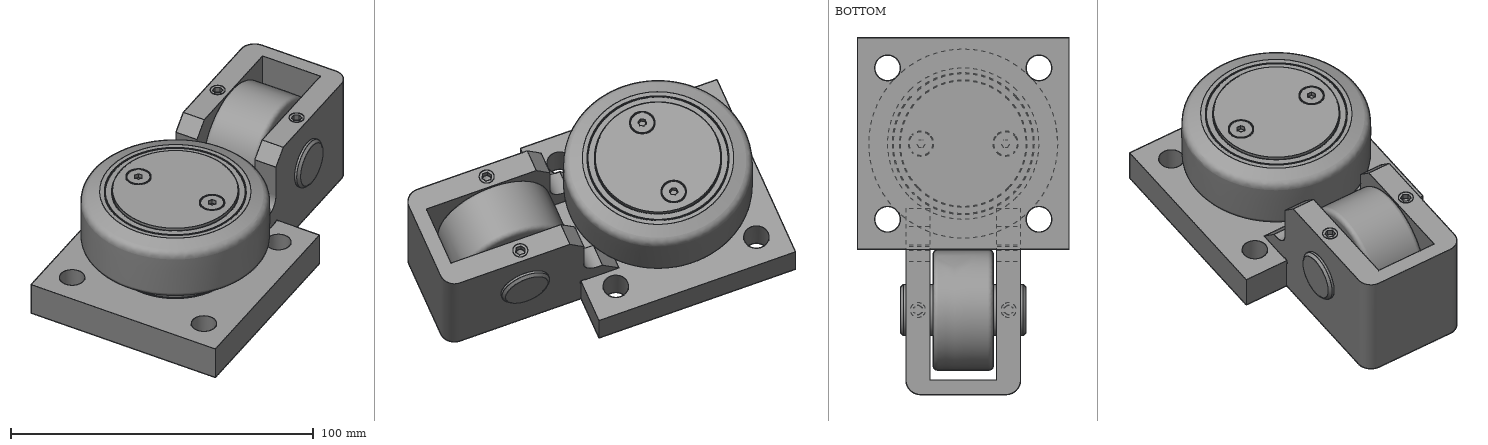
import cadquery as cq
import math


OVERALL_LENGTH = 118.0
OVERALL_HEIGHT = 42.5

PLATE_SIDE = 70.0
PLATE_EDGE = PLATE_SIDE / 2
PLATE_THICKNESS = 12.0
MOUNT_HOLE_DIAMETER = 8.4
MOUNT_HOLE_PITCH = 50.0

BEARING_DIAMETER = 62.5
BEARING_CROWN = 0.1
BEARING_BOTTOM = 20.8
BEARING_TOP = 40.8
BEARING_TOP_FLAT_DIAMETER = 50.0
BEARING_CONE_ANGLE = 20.0
BEARING_TOP_FILLET = 3.0
BEARING_BOTTOM_FILLET = 1.5
NECK_DIAMETER = 42.0
NECK_RELIEF_DIAMETER = 41.5
NECK_RELIEF_HEIGHT = 0.5
SEAL_GROOVE_OUTER_DIAMETER = 47.0
SEAL_GROOVE_INNER_DIAMETER = 46.3
CAP_GROOVE_DIAMETER = 42.1
CAP_DIAMETER = 41.5
CAP_TOP = 41.7
GROOVE_DEPTH = 0.5
CAP_SCREW_SPACING = 28.0
CAP_SCREW_SEAT_DIAMETER = 8.4
CAP_SCREW_HEAD_DIAMETER = 7.8
CAP_SCREW_SOCKET_FLATS = 2.5
CAP_SCREW_SOCKET_DEPTH = 1.5

BRACKET_WIDTH = 38.0
BRACKET_HEIGHT = 40.0
ROLLER_SLOT_WIDTH = 22.0
BACK_WALL = 5.0
BACK_CORNER_RADIUS = 5.0
BRACKET_BACK = OVERALL_LENGTH - PLATE_EDGE
ARM_FRONT = 34.0
ARM_CHAMFER = 5.0
ARM_INNER_RADIUS = 5.0
TOE_TOP = 17.9
TOE_TIP = 21.5
CORNER_RELIEF_RADIUS = 1.1
CORNER_RELIEF_INSET = 0.7

ROLLER_DIAMETER = 40.0
ROLLER_WIDTH = 20.0
ROLLER_FILLET = 1.5
ROLLER_CROWN = 0.1
PIN_DIAMETER = 17.0
PIN_LENGTH = 41.5
PIN_CHAMFER = 1.0
PIN_Y = 55.0
PIN_Z = OVERALL_HEIGHT - ROLLER_DIAMETER / 2

SET_SCREW_DIAMETER = 5.0
SET_SCREW_RECESS = 0.1
SET_SCREW_SOCKET_FLATS = 3.0
SET_SCREW_SOCKET_DEPTH = 2.0
DRILL_POINT_ANGLE = 118.0


def ring_cutter(outer_diameter, inner_diameter, bottom, top):
    """Annular cutter around the Z axis."""
    ring = cq.Workplane("XY", origin=(0, 0, bottom)).circle(outer_diameter / 2).circle(inner_diameter / 2)
    return ring.extrude(top - bottom)


def hexagon_prism(across_flats, bottom, height):
    """Hexagonal prism about the Z axis, with two corners along X."""
    corner_diameter = 2 * across_flats / math.sqrt(3)
    return cq.Workplane("XY", origin=(0, 0, bottom)).polygon(6, corner_diameter).extrude(height)


def make_plate():
    """Square plate, sitting on Z = 0, with four corner mounting holes."""
    plate = cq.Workplane("XY").box(PLATE_SIDE, PLATE_SIDE, PLATE_THICKNESS, centered=(True, True, False))
    holes = (
        cq.Workplane("XY")
        .rect(MOUNT_HOLE_PITCH, MOUNT_HOLE_PITCH, forConstruction=True)
        .vertices()
        .circle(MOUNT_HOLE_DIAMETER / 2)
        .extrude(PLATE_THICKNESS)
    )
    return plate.cut(holes)


def make_bearing():
    """Neck, crowned and rounded bearing ring and slightly raised cap, all about the Z axis."""
    outer = BEARING_DIAMETER / 2
    top_flat = BEARING_TOP_FLAT_DIAMETER / 2
    rim_end = outer - BEARING_CROWN
    shoulder_z = BEARING_TOP - (rim_end - top_flat) * math.tan(math.radians(BEARING_CONE_ANGLE))

    ring = (
        cq.Workplane("XZ")
        .moveTo(0, BEARING_BOTTOM)
        .lineTo(rim_end, BEARING_BOTTOM)
        .threePointArc((outer, (BEARING_BOTTOM + shoulder_z) / 2), (rim_end, shoulder_z))
        .lineTo(top_flat, BEARING_TOP)
        .lineTo(0, BEARING_TOP)
        .close()
        .revolve(360, (0, 0, 0), (0, 1, 0))
    )
    shoulder_edge = cq.selectors.NearestToPointSelector((0, rim_end, shoulder_z))
    ring = ring.edges(shoulder_edge).fillet(BEARING_TOP_FILLET)
    ring = ring.faces("<Z").edges().fillet(BEARING_BOTTOM_FILLET)

    relief_core = (
        cq.Workplane("XY", origin=(0, 0, PLATE_THICKNESS))
        .circle(NECK_RELIEF_DIAMETER / 2)
        .extrude(BEARING_BOTTOM - PLATE_THICKNESS)
    )
    neck = (
        cq.Workplane("XY", origin=(0, 0, PLATE_THICKNESS + NECK_RELIEF_HEIGHT))
        .circle(NECK_DIAMETER / 2)
        .extrude(BEARING_BOTTOM - PLATE_THICKNESS - 2 * NECK_RELIEF_HEIGHT)
    )
    cap = (
        cq.Workplane("XY", origin=(0, 0, BEARING_TOP))
        .circle(CAP_DIAMETER / 2)
        .extrude(CAP_TOP - BEARING_TOP)
    )

    groove_bottom = BEARING_TOP - GROOVE_DEPTH
    seal_groove = ring_cutter(
        SEAL_GROOVE_OUTER_DIAMETER, SEAL_GROOVE_INNER_DIAMETER, groove_bottom, BEARING_TOP
    )
    cap_groove = ring_cutter(CAP_GROOVE_DIAMETER, CAP_DIAMETER, groove_bottom, BEARING_TOP)
    bearing = ring.union(relief_core).union(neck).union(cap)
    return bearing.cut(seal_groove).cut(cap_groove)


def cap_screw_cutter():
    """Ring gap around a flush screw head, plus the drive socket in the head."""
    gap = ring_cutter(CAP_SCREW_SEAT_DIAMETER, CAP_SCREW_HEAD_DIAMETER, CAP_TOP - GROOVE_DEPTH, CAP_TOP)
    socket = hexagon_prism(CAP_SCREW_SOCKET_FLATS, CAP_TOP - CAP_SCREW_SOCKET_DEPTH, CAP_SCREW_SOCKET_DEPTH)
    return gap.union(socket)


def make_bearing_unit():
    """Flange plate with the main bearing fixed on it, as one solid."""
    unit = make_plate().union(make_bearing())
    for side in (-1, 1):
        unit = unit.cut(cap_screw_cutter().translate((side * CAP_SCREW_SPACING / 2, 0, 0)))
    return unit


def make_bracket():
    """U-shaped bracket whose two arms hook over the back edge of the plate."""
    fillet_mid = ARM_INNER_RADIUS * (1 - math.sqrt(0.5))
    toe_flat_end = TOE_TIP + (TOE_TOP - PLATE_THICKNESS)
    bracket = (
        cq.Workplane("YZ", origin=(-BRACKET_WIDTH / 2, 0, 0))
        .moveTo(BRACKET_BACK, 0)
        .lineTo(BRACKET_BACK, BRACKET_HEIGHT)
        .lineTo(ARM_FRONT + ARM_CHAMFER, BRACKET_HEIGHT)
        .lineTo(ARM_FRONT, BRACKET_HEIGHT - ARM_CHAMFER)
        .lineTo(ARM_FRONT, TOE_TOP + ARM_INNER_RADIUS)
        .threePointArc(
            (ARM_FRONT - fillet_mid, TOE_TOP + fillet_mid),
            (ARM_FRONT - ARM_INNER_RADIUS, TOE_TOP),
        )
        .lineTo(toe_flat_end, TOE_TOP)
        .lineTo(TOE_TIP, PLATE_THICKNESS)
        .lineTo(PLATE_EDGE, PLATE_THICKNESS)
        .lineTo(PLATE_EDGE, 0)
        .close()
        .extrude(BRACKET_WIDTH)
    )
    bracket = bracket.edges("|Z and >Y").fillet(BACK_CORNER_RADIUS)

    slot_length = BRACKET_BACK - BACK_WALL - TOE_TIP
    slot = cq.Workplane("XY", origin=(0, TOE_TIP, 0)).box(
        ROLLER_SLOT_WIDTH, slot_length, BRACKET_HEIGHT, centered=(True, False, False)
    )

    corner_relief = (
        cq.Workplane("YZ", origin=(-BRACKET_WIDTH / 2, 0, 0))
        .center(PLATE_EDGE - CORNER_RELIEF_INSET, PLATE_THICKNESS - CORNER_RELIEF_INSET)
        .circle(CORNER_RELIEF_RADIUS)
        .extrude(BRACKET_WIDTH)
    )
    return bracket.cut(slot).cut(corner_relief)


def make_roller():
    """Crowned roller with rounded rims, about the X axis through the pin."""
    half_width = ROLLER_WIDTH / 2
    rim_radius = ROLLER_DIAMETER / 2
    roller = (
        cq.Workplane("XY", origin=(0, PIN_Y, PIN_Z))
        .moveTo(-half_width, 0)
        .lineTo(-half_width, rim_radius - ROLLER_CROWN)
        .threePointArc((0, rim_radius), (half_width, rim_radius - ROLLER_CROWN))
        .lineTo(half_width, 0)
        .close()
        .revolve(360, (0, 0, 0), (1, 0, 0))
    )
    return roller.faces("<X or >X").edges().fillet(ROLLER_FILLET)


def make_pin():
    """Cylinder through both arms, chamfered at each end."""
    pin = (
        cq.Workplane("YZ", origin=(-PIN_LENGTH / 2, PIN_Y, PIN_Z))
        .circle(PIN_DIAMETER / 2)
        .extrude(PIN_LENGTH)
    )
    return pin.faces("<X or >X").chamfer(PIN_CHAMFER)


def set_screw_cutter():
    """Shallow round recess down to the screw, then its hexagon socket with a drill point."""
    socket_bottom = -SET_SCREW_RECESS - SET_SCREW_SOCKET_DEPTH
    point_radius = SET_SCREW_SOCKET_FLATS / 2
    point_depth = point_radius / math.tan(math.radians(DRILL_POINT_ANGLE / 2))
    recess = (
        cq.Workplane("XY", origin=(0, 0, -SET_SCREW_RECESS))
        .circle(SET_SCREW_DIAMETER / 2)
        .extrude(SET_SCREW_RECESS)
    )
    socket = hexagon_prism(SET_SCREW_SOCKET_FLATS, socket_bottom, SET_SCREW_SOCKET_DEPTH)
    socket = socket.rotate((0, 0, 0), (0, 0, 1), 90)
    drill_point = cq.Workplane(
        cq.Solid.makeCone(
            point_radius, 0, point_depth, pnt=cq.Vector(0, 0, socket_bottom), dir=cq.Vector(0, 0, -1)
        )
    )
    return recess.union(socket).union(drill_point)


def make_roller_unit():
    """Bracket carrying the side roller on its pin, as one solid."""
    unit = make_bracket().union(make_pin()).union(make_roller())
    arm_centre = (BRACKET_WIDTH + ROLLER_SLOT_WIDTH) / 4
    for side in (-1, 1):
        unit = unit.cut(set_screw_cutter().translate((side * arm_centre, PIN_Y, BRACKET_HEIGHT)))
    return unit


bearing_unit = make_bearing_unit()
roller_unit = make_roller_unit()

result = cq.Compound.makeCompound([bearing_unit.val(), roller_unit.val()])